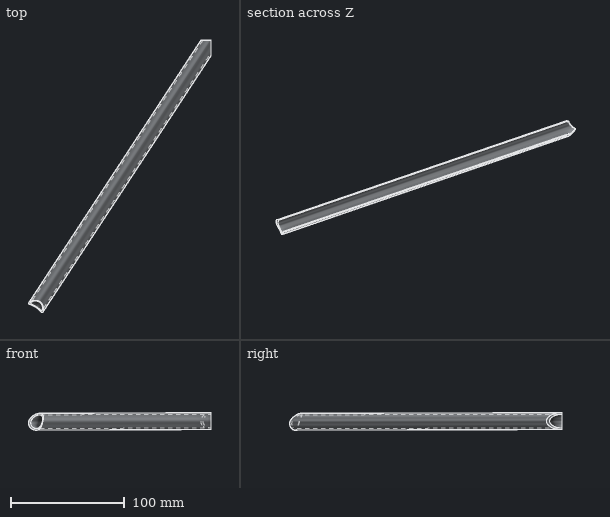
import math

import cadquery as cq

outer_diameter = 15.0
wall = 1.5
length = 281.31

heading = 56.75
climb = 0.11

notch_radius = 10.5
notch_lean = 22.5

outer_radius = outer_diameter / 2
inner_radius = outer_radius - wall
overrun = 2 * outer_diameter
notch_half_height = 2 * outer_diameter

turn = math.radians(heading)
rise = math.radians(climb)
along = cq.Vector(math.cos(turn) * math.cos(rise), math.sin(turn) * math.cos(rise), math.sin(rise))
sideways = cq.Vector(math.sin(turn), -math.cos(turn), 0)
upward = sideways.cross(along)


def bar(radius):
    """Round bar on the tube axis, longer than the tube at both ends."""
    start = along * -(length + overrun)
    plane = cq.Plane(origin=start, xDir=sideways, normal=along)
    return cq.Workplane(plane).circle(radius).extrude(length + 2 * overrun)


def far_corner():
    """Space with X and Y below zero; its two faces trim the far end to a square corner."""
    size = 2 * (length + overrun)
    return cq.Workplane("XY").box(size, size, size).translate((-size / 2, -size / 2, 0))


def notch():
    """Leaning cylinder that saddles the near end, deeper at the top than at the bottom."""
    lean = math.radians(notch_lean)
    setback = math.sqrt(notch_radius**2 - outer_radius**2) / math.cos(lean)
    centre = along * -(length + setback)
    axis = upward * math.cos(lean) + along * math.sin(lean)
    plane = cq.Plane(origin=centre, xDir=sideways, normal=axis)
    return cq.Workplane(plane).circle(notch_radius).extrude(notch_half_height, both=True)


tube = bar(outer_radius).cut(bar(inner_radius))
trimmed = tube.intersect(far_corner()).cut(notch())
result = trimmed.solids(cq.selectors.NearestToPointSelector((0, 0, 0)))